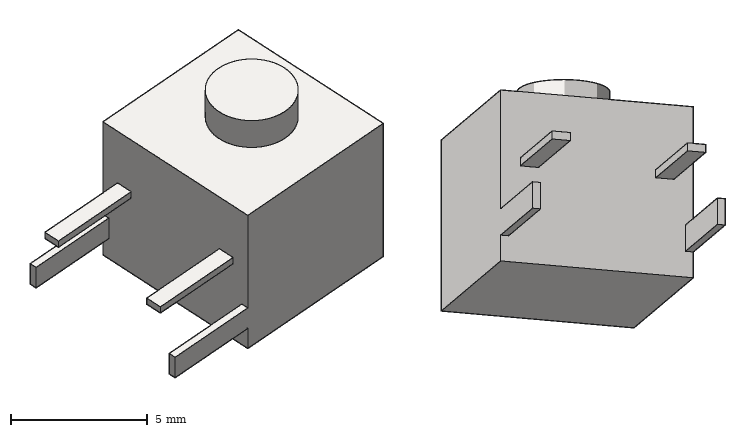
import cadquery as cq

width = 7.4
length = 10.9
height = 7.8

body_depth = 7.1
body_height = 6.5
button_diameter = 3.4
button_from_back = 3.1

pin_thickness = 0.3
terminal_width = 0.7
terminal_spacing = 5.2
terminal_center_z = 3.83
bracket_pin_height = 1.0
bracket_pin_center_z = 1.48

pin_length = length - body_depth
button_height = height - body_height
bracket_pin_spacing = width - pin_thickness


def make_housing():
    """Block centred on X, with its front face at Y = 0 and its base at Z = 0."""
    return cq.Workplane("XY").box(width, body_depth, body_height, centered=(True, False, False))


def make_button():
    """Round button standing on the top face."""
    return (
        cq.Workplane("XY", origin=(0, body_depth - button_from_back, body_height))
        .circle(button_diameter / 2)
        .extrude(button_height)
    )


def make_pin_pair(spacing, center_z, section_width, section_height):
    """Two rectangular pins, mirrored about X = 0, reaching forward from the front face."""
    return (
        cq.Workplane("XZ", origin=(0, 0, center_z))
        .pushPoints([(-spacing / 2, 0), (spacing / 2, 0)])
        .rect(section_width, section_height)
        .extrude(pin_length)
    )


terminals = make_pin_pair(terminal_spacing, terminal_center_z, terminal_width, pin_thickness)
bracket_pins = make_pin_pair(
    bracket_pin_spacing, bracket_pin_center_z, pin_thickness, bracket_pin_height
)

result = make_housing().union(make_button()).union(terminals).union(bracket_pins)